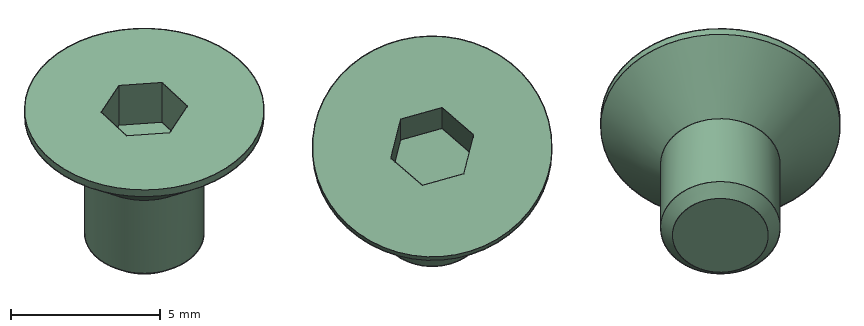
import cadquery as cq
import math

head_diameter = 8.0
shank_diameter = 4.0
total_height = 6.0
rim_height = 0.3
tip_chamfer = 0.4
hex_across_flats = 2.5
hex_depth = 1.8

head_radius = head_diameter / 2
shank_radius = shank_diameter / 2
rim_bottom = total_height - rim_height
shank_top = rim_bottom - (head_radius - shank_radius)


def make_body():
    """Revolve the half profile of the head, shank and chamfered tip."""
    return (
        cq.Workplane("XZ")
        .lineTo(shank_radius - tip_chamfer, 0)
        .lineTo(shank_radius, tip_chamfer)
        .lineTo(shank_radius, shank_top)
        .lineTo(head_radius, rim_bottom)
        .lineTo(head_radius, total_height)
        .lineTo(0, total_height)
        .close()
        .revolve(360, (0, 0, 0), (0, 1, 0))
    )


def make_hex_socket():
    """Hexagonal prism with two corners on the X axis, sunk from the head face."""
    across_corners = hex_across_flats / math.cos(math.pi / 6)
    return (
        cq.Workplane("XY")
        .workplane(offset=total_height - hex_depth)
        .polygon(6, across_corners)
        .extrude(hex_depth)
    )


result = make_body().cut(make_hex_socket())